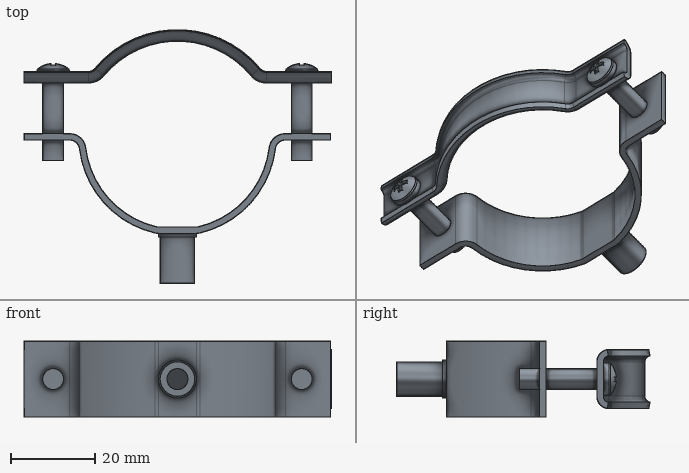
import cadquery as cq
import math


SHEET = 1.5
SCREW_X = 29.5
SHANK_RADIUS = 2.5

UPPER_LEFT_END = -36.4
UPPER_RIGHT_END = 36.6
UPPER_SEAT_RADIUS = 22.7
UPPER_FLANGE_Y = 12.8
UPPER_BEND_RADIUS = 4.8
UPPER_HEIGHT = 14.0
LIP_RADIUS = 3.0
LIP_ANGLE = 80

LOWER_HALF_LENGTH = 36.35
LOWER_HEIGHT = 18.0
LOWER_SEAT_RADIUS = 21.9
LOWER_BEND_RADIUS = 2.3
BAND_END_ANGLE = 13.2
PAD_BEND_RADIUS = 2.1

BOSS_END_Y = -34.75
BOSS_RADIUS = 4.1
COLLAR_RADIUS = 4.5
COLLAR_LENGTH = 0.9
BOSS_BORE_RADIUS = 2.5

SCREW_TIP_Y = -5.6
HEAD_RADIUS = 3.9
HEAD_BASE_HEIGHT = 1.3
RIM_RADIUS = 3.7
RIM_HEIGHT = 1.75
DOME_HEIGHT = 1.4
CROSS_LENGTH = 3.95
CROSS_WIDTH = 1.1
CROSS_DEPTH = 0.9

SCREW_POSITIONS = (-SCREW_X, SCREW_X)
HEAD_SEAT_Y = UPPER_FLANGE_Y + SHEET

BAND_MID = LOWER_SEAT_RADIUS + SHEET / 2
FLANGE_BEND_MID = LOWER_BEND_RADIUS + SHEET / 2
FLANGE_BEND_X = math.sqrt((BAND_MID + FLANGE_BEND_MID) ** 2 - FLANGE_BEND_MID**2)
PAD_BEND_MID = PAD_BEND_RADIUS + SHEET / 2
PAD_HALF_LENGTH = (BAND_MID - PAD_BEND_MID) * math.sin(math.radians(BAND_END_ANGLE))
PAD_MID_Y = -(BAND_MID - PAD_BEND_MID) * math.cos(math.radians(BAND_END_ANGLE)) - PAD_BEND_MID


def polar(radius, degrees, center=(0, 0)):
    """Point at a distance and a direction from a center."""
    angle = math.radians(degrees)
    return (center[0] + radius * math.cos(angle), center[1] + radius * math.sin(angle))


def cylinder_y(x, radius, start_y, end_y):
    """Cylinder along Y on the mid-height plane."""
    return cq.Workplane("XZ", origin=(x, start_y, 0)).circle(radius).extrude(start_y - end_y)


def cut_screw_holes(strap, near_y, far_y):
    for x in SCREW_POSITIONS:
        strap = strap.cut(cylinder_y(x, SHANK_RADIUS, near_y, far_y))
    return strap


def upper_path():
    """Line that the web's pipe side follows from the left end to the right end."""
    bend_y = UPPER_FLANGE_Y + UPPER_BEND_RADIUS
    bend_x = math.sqrt((UPPER_SEAT_RADIUS + UPPER_BEND_RADIUS) ** 2 - bend_y**2)
    slope = math.degrees(math.atan2(bend_y, bend_x))
    left_bend = (-bend_x, bend_y)
    right_bend = (bend_x, bend_y)
    half_turn = (90 - slope) / 2
    return (
        cq.Workplane("XY")
        .moveTo(UPPER_LEFT_END, UPPER_FLANGE_Y)
        .lineTo(-bend_x, UPPER_FLANGE_Y)
        .threePointArc(
            polar(UPPER_BEND_RADIUS, half_turn - 90, left_bend),
            polar(UPPER_SEAT_RADIUS, 180 - slope),
        )
        .threePointArc((0, UPPER_SEAT_RADIUS), polar(UPPER_SEAT_RADIUS, slope))
        .threePointArc(
            polar(UPPER_BEND_RADIUS, -90 - half_turn, right_bend),
            (bend_x, UPPER_FLANGE_Y),
        )
        .lineTo(UPPER_RIGHT_END, UPPER_FLANGE_Y)
    )


def upper_section():
    """Flat web with a lip rolled outward along both edges, at the strap's left end."""
    inner_radius = LIP_RADIUS - SHEET
    lip_y = UPPER_FLANGE_Y + LIP_RADIUS
    web_half = UPPER_HEIGHT / 2 - LIP_RADIUS * math.sin(math.radians(LIP_ANGLE))
    top = (lip_y, web_half)
    bottom = (lip_y, -web_half)
    return (
        cq.Workplane("YZ", origin=(UPPER_LEFT_END, 0, 0))
        .moveTo(UPPER_FLANGE_Y, -web_half)
        .lineTo(UPPER_FLANGE_Y, web_half)
        .threePointArc(
            polar(LIP_RADIUS, 180 - LIP_ANGLE / 2, top), polar(LIP_RADIUS, 180 - LIP_ANGLE, top)
        )
        .lineTo(*polar(inner_radius, 180 - LIP_ANGLE, top))
        .threePointArc(polar(inner_radius, 180 - LIP_ANGLE / 2, top), polar(inner_radius, 180, top))
        .lineTo(HEAD_SEAT_Y, -web_half)
        .threePointArc(
            polar(inner_radius, 180 + LIP_ANGLE / 2, bottom),
            polar(inner_radius, 180 + LIP_ANGLE, bottom),
        )
        .lineTo(*polar(LIP_RADIUS, 180 + LIP_ANGLE, bottom))
        .threePointArc(
            polar(LIP_RADIUS, 180 + LIP_ANGLE / 2, bottom), polar(LIP_RADIUS, 180, bottom)
        )
        .close()
    )


def make_upper_strap():
    strap = upper_section().sweep(upper_path())
    return cut_screw_holes(strap, HEAD_SEAT_Y, UPPER_FLANGE_Y)


def lower_path():
    """Mid-thickness line from the left flange through band, pad and band to the right flange."""
    slope = math.degrees(math.atan2(FLANGE_BEND_MID, FLANGE_BEND_X))
    left_bend = (-FLANGE_BEND_X, -FLANGE_BEND_MID)
    right_bend = (FLANGE_BEND_X, -FLANGE_BEND_MID)
    band_middle = (slope + 90 - BAND_END_ANGLE) / 2
    left_pad_bend = (-PAD_HALF_LENGTH, PAD_MID_Y + PAD_BEND_MID)
    right_pad_bend = (PAD_HALF_LENGTH, PAD_MID_Y + PAD_BEND_MID)
    return (
        cq.Workplane("XY")
        .moveTo(-LOWER_HALF_LENGTH, 0)
        .lineTo(-FLANGE_BEND_X, 0)
        .threePointArc(
            polar(FLANGE_BEND_MID, (90 + slope) / 2, left_bend), polar(BAND_MID, 180 + slope)
        )
        .threePointArc(
            polar(BAND_MID, 180 + band_middle), polar(BAND_MID, 270 - BAND_END_ANGLE)
        )
        .threePointArc(
            polar(PAD_BEND_MID, 270 - BAND_END_ANGLE / 2, left_pad_bend),
            (-PAD_HALF_LENGTH, PAD_MID_Y),
        )
        .lineTo(PAD_HALF_LENGTH, PAD_MID_Y)
        .threePointArc(
            polar(PAD_BEND_MID, 270 + BAND_END_ANGLE / 2, right_pad_bend),
            polar(BAND_MID, 270 + BAND_END_ANGLE),
        )
        .threePointArc(polar(BAND_MID, -band_middle), polar(BAND_MID, -slope))
        .threePointArc(
            polar(FLANGE_BEND_MID, 180 - (90 + slope) / 2, right_bend), (FLANGE_BEND_X, 0)
        )
        .lineTo(LOWER_HALF_LENGTH, 0)
    )


def make_lower_strap():
    section = cq.Workplane("YZ", origin=(-LOWER_HALF_LENGTH, 0, 0)).rect(SHEET, LOWER_HEIGHT)
    strap = section.sweep(lower_path())
    return cut_screw_holes(strap, SHEET / 2, -SHEET / 2)


def make_boss():
    seat_y = PAD_MID_Y - SHEET / 2
    barrel = cylinder_y(0, BOSS_RADIUS, seat_y, BOSS_END_Y)
    collar = cylinder_y(0, COLLAR_RADIUS, seat_y, seat_y - COLLAR_LENGTH)
    bore = cylinder_y(0, BOSS_BORE_RADIUS, seat_y, BOSS_END_Y)
    return barrel.union(collar).cut(bore)


def make_screw(x):
    """Shank and domed head turned about the screw axis, with a cross recess in the dome."""
    rim_y = HEAD_SEAT_Y + RIM_HEIGHT
    top_y = rim_y + DOME_HEIGHT
    dome_radius = (RIM_RADIUS**2 + DOME_HEIGHT**2) / (2 * DOME_HEIGHT)
    dome_half_angle = math.degrees(math.asin(RIM_RADIUS / dome_radius))
    dome_middle = polar(dome_radius, 90 - dome_half_angle / 2, (0, top_y - dome_radius))
    screw = (
        cq.Workplane("XY")
        .moveTo(0, SCREW_TIP_Y)
        .lineTo(SHANK_RADIUS, SCREW_TIP_Y)
        .lineTo(SHANK_RADIUS, HEAD_SEAT_Y)
        .lineTo(HEAD_RADIUS, HEAD_SEAT_Y)
        .lineTo(HEAD_RADIUS, HEAD_SEAT_Y + HEAD_BASE_HEIGHT)
        .lineTo(RIM_RADIUS, rim_y)
        .threePointArc(dome_middle, (0, top_y))
        .close()
        .revolve(360, (0, 0, 0), (0, 1, 0))
    )
    recess = (
        cq.Workplane("XZ", origin=(0, top_y, 0))
        .rect(CROSS_LENGTH, CROSS_WIDTH)
        .extrude(CROSS_DEPTH)
        .union(
            cq.Workplane("XZ", origin=(0, top_y, 0))
            .rect(CROSS_WIDTH, CROSS_LENGTH)
            .extrude(CROSS_DEPTH)
        )
    )
    return screw.cut(recess).translate((x, 0, 0))


upper_strap = make_upper_strap()
lower_strap = make_lower_strap()
boss = make_boss()
screws = [make_screw(x) for x in SCREW_POSITIONS]

result = cq.Compound.makeCompound(
    [upper_strap.val(), lower_strap.val(), boss.val(), *[screw.val() for screw in screws]]
)